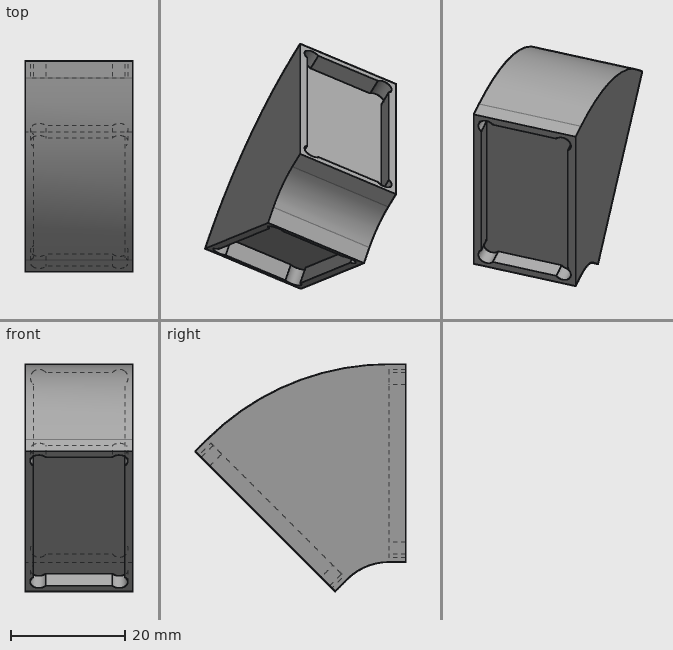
import cadquery as cq
import math

width = 18.85
outer_radius = 45.1
inner_radius = 10.35
bend_angle = 45.0
straight_length = 3.0
wall = 1.45
pocket_depth = straight_length
relief_radius = 1.5

relief_inset = 0.95
end_height = outer_radius - inner_radius
pocket_width = width - 2 * wall
pocket_height = end_height - 2 * wall
middle_radius = (outer_radius + inner_radius) / 2


def bend_point(radius, angle, along=0.0):
    """(Y, Z) on the bend, then moved along its tangent; the bend axis is the origin."""
    a = math.radians(angle)
    y = -radius * math.sin(a) - along * math.cos(a)
    z = radius * math.cos(a) - along * math.sin(a)
    return y, z


def bend_body():
    """Solid sector with a short straight run at both ends."""
    half_angle = bend_angle / 2
    return (
        cq.Workplane("YZ")
        .moveTo(*bend_point(outer_radius, 0, -straight_length))
        .lineTo(*bend_point(outer_radius, 0))
        .threePointArc(bend_point(outer_radius, half_angle), bend_point(outer_radius, bend_angle))
        .lineTo(*bend_point(outer_radius, bend_angle, straight_length))
        .lineTo(*bend_point(inner_radius, bend_angle, straight_length))
        .lineTo(*bend_point(inner_radius, bend_angle))
        .threePointArc(bend_point(inner_radius, half_angle), bend_point(inner_radius, 0))
        .lineTo(*bend_point(inner_radius, 0, -straight_length))
        .close()
        .extrude(width / 2, both=True)
    )


def end_pocket(angle, along):
    """Rectangular pocket with relieved corners, sunk into the end face at this angle."""
    a = math.radians(angle)
    inward = -math.copysign(1, along)
    y, z = bend_point(middle_radius, angle, along)
    face = cq.Plane(
        origin=(0, y, z),
        xDir=(1, 0, 0),
        normal=(0, -inward * math.cos(a), -inward * math.sin(a)),
    )
    pocket = cq.Workplane(face).rect(pocket_width, pocket_height).extrude(pocket_depth)
    reliefs = (
        cq.Workplane(face)
        .rect(pocket_width - 2 * relief_inset, pocket_height - 2 * relief_inset, forConstruction=True)
        .vertices()
        .circle(relief_radius)
        .extrude(pocket_depth)
    )
    return pocket.union(reliefs)


result = (
    bend_body()
    .cut(end_pocket(0, -straight_length))
    .cut(end_pocket(bend_angle, straight_length))
)